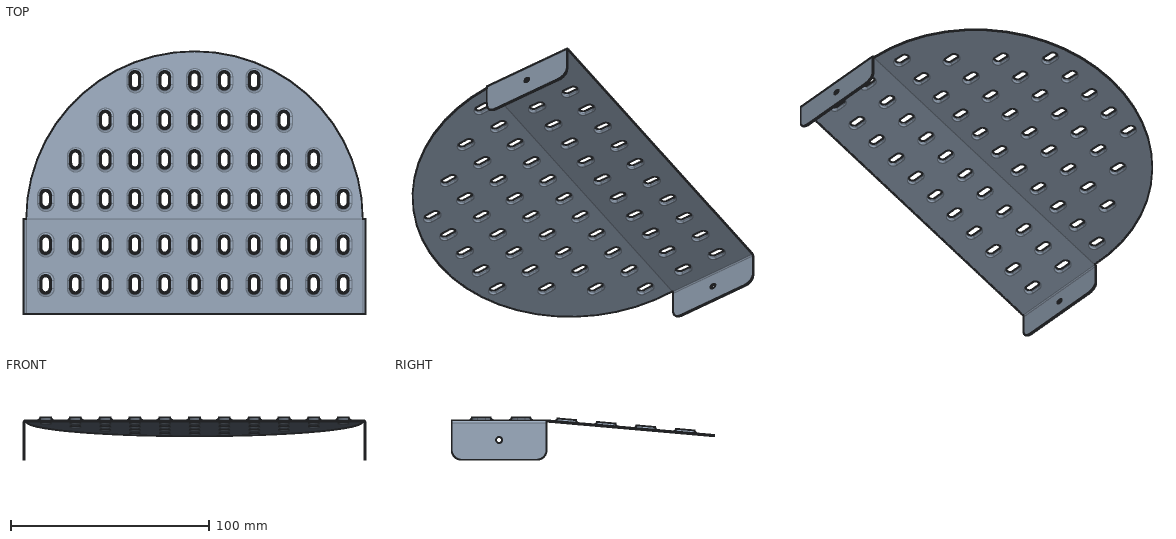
import cadquery as cq
import math

overall_width = 172.8
sheet = 0.8
bend_radius = 1.4
flat_depth = 48.0
flange_height = 20.0
flange_corner_radius = 5.0
flange_hole_diameter = 3.0
flange_hole_drop = 10.0
fold_angle = 5.0
plate_radius = overall_width / 2 - bend_radius

slot_straight = 4.0
slot_width = 4.0
collar_height = 1.4
mouth_radius = sheet
slot_radius = slot_width / 2
flare_radius = slot_radius + sheet + collar_height
column_pitch = 15.0
row_pitch = 20.0
front_row_offset = 15.0
sloped_row_offset = 10.0
flat_row_columns = [11, 11]
sloped_row_columns = [11, 9, 7, 5]


def collar_section():
    """Collar wall in the XZ plane: concave flare on top, slot mouth rounded over underneath."""
    diagonal = math.sqrt(0.5)
    flare_offset = collar_height * diagonal
    mouth_offset = mouth_radius * diagonal
    mouth_centre_x = slot_radius + mouth_radius
    mouth_centre_z = mouth_radius - sheet
    return (
        cq.Workplane("XZ")
        .moveTo(flare_radius, 0)
        .threePointArc(
            (flare_radius - flare_offset, collar_height - flare_offset),
            (slot_radius + sheet, collar_height),
        )
        .lineTo(slot_radius, collar_height)
        .lineTo(slot_radius, mouth_centre_z)
        .threePointArc(
            (mouth_centre_x - mouth_offset, mouth_centre_z - mouth_offset),
            (mouth_centre_x, -sheet),
        )
        .lineTo(flare_radius, -sheet)
        .close()
    )


def make_collar():
    """Slotted collar curving up from the sheet, long along Y, centred on the Z axis."""
    side = collar_section().extrude(slot_straight / 2, both=True)
    end = collar_section().revolve(180, (0, 0, 0), (0, 1, 0)).translate((0, slot_straight / 2, 0))
    half = side.union(end)
    return half.union(half.rotate((0, 0, 0), (0, 0, 1), 180))


def row_points(first_y, columns_per_row):
    """Slot centres of successive rows, each row centred on X = 0."""
    return [
        ((column - (columns - 1) / 2) * column_pitch, first_y + row * row_pitch)
        for row, columns in enumerate(columns_per_row)
        for column in range(columns)
    ]


def add_collars(plate, centres):
    """Replace the sheet around every centre with a flared slot collar."""
    opening = (
        cq.Workplane("XY")
        .slot2D(slot_straight + 2 * flare_radius, 2 * flare_radius, 90)
        .extrude(-sheet)
        .val()
    )
    collar = make_collar().val()
    places = [cq.Location(cq.Vector(x, y, 0)) for x, y in centres]
    openings = cq.Compound.makeCompound([opening.moved(place) for place in places])
    collars = [collar.moved(place) for place in places]
    return cq.Workplane(plate.cut(openings).val().fuse(*collars))


def make_channel():
    """Flat plate with a flange bent down along each side; top face at Z = 0."""
    channel = (
        cq.Workplane("XY")
        .box(overall_width, flat_depth, flange_height, centered=(True, False, False))
        .translate((0, 0, -flange_height))
        .edges("|Y and >Z")
        .fillet(bend_radius)
    )
    cavity = (
        cq.Workplane("XY")
        .box(overall_width - 2 * sheet, flat_depth, flange_height, centered=(True, False, False))
        .translate((0, 0, -flange_height - sheet))
        .edges("|Y and >Z")
        .fillet(bend_radius - sheet)
    )
    flange_holes = (
        cq.Workplane("YZ")
        .center(flat_depth / 2, -flange_hole_drop)
        .circle(flange_hole_diameter / 2)
        .extrude(overall_width / 2, both=True)
    )
    return channel.cut(cavity).edges("|X and <Z").fillet(flange_corner_radius).cut(flange_holes)


def make_sloped_plate():
    """Half-round perforated plate, tilted down about the fold line at Y = 0."""
    plate = (
        cq.Workplane("XY")
        .moveTo(-plate_radius, 0)
        .threePointArc((0, plate_radius), (plate_radius, 0))
        .close()
        .extrude(-sheet)
    )
    plate = add_collars(plate, row_points(sloped_row_offset, sloped_row_columns))
    return plate.rotate((0, 0, 0), (1, 0, 0), -fold_angle)


channel = add_collars(make_channel(), row_points(front_row_offset, flat_row_columns))
sloped_plate = make_sloped_plate().translate((0, flat_depth, 0))
result = channel.union(sloped_plate)